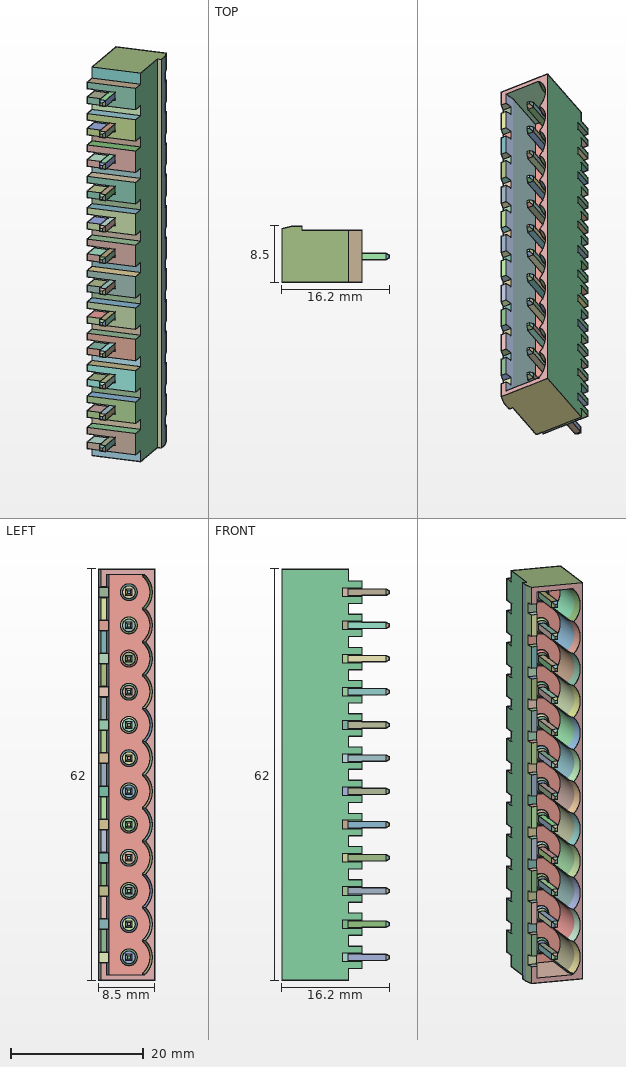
import cadquery as cq

pin_count = 12
length = 62.0
first_pin_z = 3.5
body_height = 10.05
body_width = 7.9
overall_height = 16.2

rail_width = 8.5
rail_lip_width = 8.1
rail_ramp = 1.5
rail_height = 3.05
notch_depth = 1.05
notch_mouth_width = 1.7
notch_back_width = 1.5

cavity_depth = 8.05
end_wall = 0.8
wall_inner_y = 6.9
wall_mouth_y = 7.25
cusp_mouth_y = 1.55
cusp_inner_y = 1.85
lead_in = 1.5
scallop_mouth_radius = 3.55
scallop_inner_radius = 3.15

pin_y = 3.9
pin_size = 1.0
pin_front_x = 0.85
pin_front_taper = 0.75
pin_end_taper = 0.5
pin_tip_size = 0.45

boss_diameter = 2.55
boss_height = 0.5
boss_bevel = 0.3

foot_height = 2.05
foot_width = 3.4
slot_width = 1.3
slot_floor_x = 9.1
shoulder_end_x = 9.9

pitch = (length - 2 * first_pin_z) / (pin_count - 1)
pin_levels = [first_pin_z + i * pitch for i in range(pin_count)]


def block(x0, x1, y0, y1, z0, z1):
    """Box between opposite corners."""
    return cq.Workplane("XY").box(x1 - x0, y1 - y0, z1 - z0, centered=False).translate((x0, y0, z0))


def pin_plane(x):
    """Workplane facing +X, centred on a pin axis at Z = 0."""
    return cq.Workplane(cq.Plane(origin=(x, pin_y, 0), xDir=(0, 1, 0), normal=(1, 0, 0)))


def at_each_pin(feature):
    """Copies of a feature drawn at Z = 0, one at the level of every pin."""
    solid = feature.val()
    return cq.Workplane("XY").newObject([solid.translate(cq.Vector(0, 0, z)) for z in pin_levels])


def make_housing():
    """Housing profile with the latch rail, extruded over the full length."""
    return (
        cq.Workplane("XY")
        .polyline([
            (0, 0),
            (body_height, 0),
            (body_height, body_width),
            (rail_height, body_width),
            (rail_height, rail_width),
            (rail_ramp, rail_width),
            (0, rail_lip_width),
        ])
        .close()
        .extrude(length)
    )


def make_trough():
    """Straight part of the plug cavity, bevelled at the mouth."""
    return (
        cq.Workplane("XY")
        .polyline([
            (0, cusp_mouth_y),
            (lead_in, cusp_inner_y),
            (cavity_depth, cusp_inner_y),
            (cavity_depth, wall_inner_y),
            (lead_in, wall_inner_y),
            (0, wall_mouth_y),
        ])
        .close()
        .extrude(length - 2 * end_wall)
        .translate((0, 0, end_wall))
    )


def make_scallop():
    """Round hollow in the -Y cavity wall, concentric with a pin and bevelled at the mouth."""
    hollow = (
        cq.Workplane("XY")
        .polyline([
            (0, 0),
            (0, scallop_mouth_radius),
            (lead_in, scallop_inner_radius),
            (cavity_depth, scallop_inner_radius),
            (cavity_depth, 0),
        ])
        .close()
        .revolve(360, (0, 0), (1, 0))
        .translate((0, pin_y, 0))
    )
    return hollow.intersect(block(0, cavity_depth, 0, pin_y, -pitch / 2, pitch / 2))


def make_foot():
    """Standoff foot running across the back of the housing."""
    half = foot_width / 2
    return block(body_height, body_height + foot_height, 0, body_width, -half, half)


def make_slot():
    """Slot from the -Y face of the foot and housing back, ending just past the pin."""
    half = slot_width / 2
    return block(slot_floor_x, body_height + foot_height, 0, pin_y + half, -half, half)


def make_notch():
    """Notch through the latch rail, narrowing slightly away from the mouth."""
    mouth_half = notch_mouth_width / 2
    back_half = notch_back_width / 2
    return (
        cq.Workplane("XZ", origin=(0, rail_width, 0))
        .polyline([(0, -mouth_half), (notch_depth, -back_half), (notch_depth, back_half), (0, mouth_half)])
        .close()
        .extrude(rail_width - pin_y)
    )


def make_boss():
    """Bevelled boss on the cavity floor."""
    return (
        pin_plane(cavity_depth - boss_height)
        .circle(boss_diameter / 2)
        .extrude(boss_height)
        .faces("<X")
        .chamfer(boss_bevel)
    )


def make_pin():
    """Square pin with tapered ends and a shoulder seated in the foot slot."""
    shank_start = pin_front_x + pin_front_taper
    shank_end = overall_height - pin_end_taper
    pin = pin_plane(shank_start).rect(pin_size, pin_size).extrude(shank_end - shank_start)
    for base_x, tip_offset in ((shank_start, -pin_front_taper), (shank_end, pin_end_taper)):
        tip = (
            pin_plane(base_x)
            .rect(pin_size, pin_size)
            .workplane(offset=tip_offset)
            .rect(pin_tip_size, pin_tip_size)
            .loft()
        )
        pin = pin.union(tip)
    shoulder = (
        pin_plane(slot_floor_x)
        .rect(slot_width, slot_width)
        .extrude(shoulder_end_x - slot_floor_x)
    )
    return pin.union(shoulder)


result = make_housing().cut(make_trough())
result = result.cut(at_each_pin(make_scallop()))
result = result.cut(at_each_pin(make_notch()))
result = result.union(at_each_pin(make_foot()))
result = result.cut(at_each_pin(make_slot()))
result = result.union(at_each_pin(make_boss().union(make_pin())))